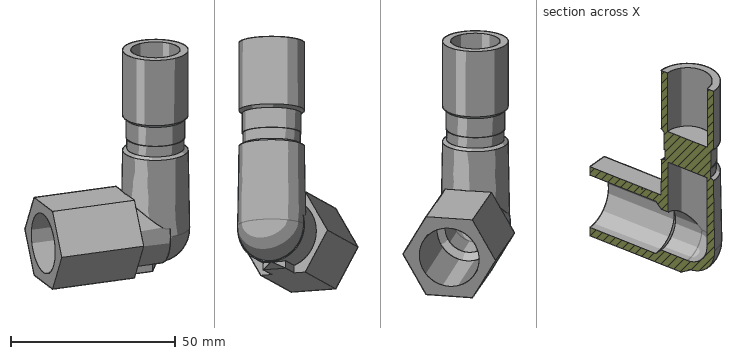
import cadquery as cq
import math


hex_corners = 28.9
hex_length = 27.05
hex_back_y = -10.0
hex_front_y = hex_back_y - hex_length
hex_half_flats = hex_corners * math.cos(math.pi / 6) / 2
passage_radius = 14.5 / 2
socket_bore_radius = 18.6 / 2
socket_taper_length = socket_bore_radius - passage_radius
socket_floor_y = hex_back_y - socket_taper_length

overall_height = 69.75
top_z = overall_height - hex_half_flats
tube_radius = 20.0 / 2
neck_radius = 18.0 / 2
groove_radius = 17.5 / 2
tube_bottom_z = 36.3
neck_top_z = 35.35
groove_top_z = 29.2
groove_bottom_z = 25.8
body_top_z = 25.1
tube_bore_radius = 15.0 / 2
tube_bore_floor_z = tube_bottom_z

elbow_radius = 10.45
arm_radius = 10.8
arm_back_y = 0.5

rib_half_width = 3.6
rib_shoulder_y = -2.45


def y_cylinder(radius, back_y, front_y):
    """Cylinder along the socket axis."""
    return cq.Workplane("XZ", origin=(0, back_y, 0)).circle(radius).extrude(back_y - front_y)


def column():
    """Revolved tube, neck, groove and slightly tapered elbow body."""
    profile = [
        (0, 0),
        (elbow_radius, 0),
        (tube_radius, body_top_z),
        (groove_radius, groove_bottom_z),
        (groove_radius, groove_top_z),
        (neck_radius, groove_top_z),
        (neck_radius, neck_top_z),
        (tube_radius, tube_bottom_z),
        (tube_radius, top_z),
        (0, top_z),
    ]
    return cq.Workplane("XZ").polyline(profile).close().revolve(360, (0, 0, 0), (0, 1, 0))


def hex_socket():
    """Hexagonal prism with two corners on the X axis."""
    return (
        cq.Workplane("XZ", origin=(0, hex_back_y, 0))
        .polygon(6, hex_corners)
        .extrude(hex_length)
    )


def rib():
    """Rib with a pointed plan and an underside that slopes up to the point."""
    plan = [
        (0, arm_back_y),
        (rib_half_width, rib_shoulder_y),
        (rib_half_width, hex_back_y),
        (-rib_half_width, hex_back_y),
        (-rib_half_width, rib_shoulder_y),
    ]
    side = [
        (arm_back_y, -passage_radius),
        (arm_back_y, -arm_radius),
        (rib_shoulder_y, -hex_half_flats),
        (hex_back_y, -hex_half_flats),
        (hex_back_y, -passage_radius),
    ]
    pointed = cq.Workplane("XY").polyline(plan).close().extrude(-hex_half_flats)
    sloped = cq.Workplane("YZ").polyline(side).close().extrude(rib_half_width, both=True)
    return pointed.intersect(sloped)


def passage():
    """Round-bottomed elbow passage that widens through a cone into the socket bore."""
    vertical = cq.Workplane("XY").circle(passage_radius).extrude(body_top_z)
    horizontal = y_cylinder(passage_radius, 0, hex_back_y)
    socket = y_cylinder(socket_bore_radius, socket_floor_y, hex_front_y)
    taper = (
        cq.Workplane("XZ", origin=(0, hex_back_y, 0))
        .circle(passage_radius)
        .workplane(offset=socket_taper_length)
        .circle(socket_bore_radius)
        .loft()
    )
    bend = cq.Workplane("XY").sphere(passage_radius)
    return vertical.union(bend).union(horizontal).union(taper).union(socket)


def tube_bore():
    """Flat-bottomed bore in the open tube end."""
    return (
        cq.Workplane("XY", origin=(0, 0, tube_bore_floor_z))
        .circle(tube_bore_radius)
        .extrude(top_z - tube_bore_floor_z)
    )


elbow = cq.Workplane("XY").sphere(elbow_radius)
arm = y_cylinder(arm_radius, arm_back_y, hex_back_y)
outside = column().union(elbow).union(arm).union(hex_socket()).union(rib())
result = outside.cut(passage()).cut(tube_bore())